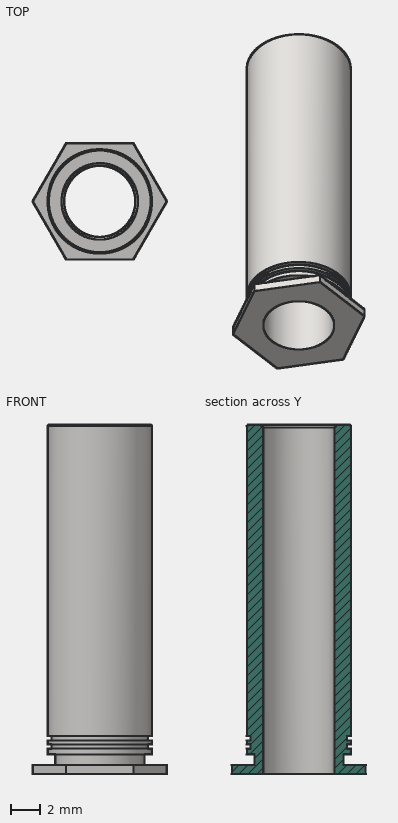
import cadquery as cq
import math

total_height = 23.8
hex_across_flats = 7.93
flange_thickness = 0.65
body_diameter = 7.12
neck_diameter = 6.1
groove_diameter = 6.6
bore_diameter = 4.83
neck_height = 0.71
bottom_ring_height = 0.38
groove_width = 0.29
groove_pitch = 0.57
groove_count = 2
outer_chamfer = 0.1
bore_chamfer = 0.2

hex_across_corners = hex_across_flats / math.cos(math.pi / 6)
body_bottom = flange_thickness + neck_height
first_groove_bottom = body_bottom + bottom_ring_height


def cylinder(diameter, bottom, top):
    """Solid cylinder on the Z axis between two heights."""
    return cq.Workplane("XY").workplane(offset=bottom).circle(diameter / 2).extrude(top - bottom)


def hex_flange():
    """Hexagonal head with two corners on the X axis."""
    return cq.Workplane("XY").polygon(6, hex_across_corners).extrude(flange_thickness)


def grooved_body():
    """Tube exterior with a chamfered rim and grooves near its lower end."""
    body = cylinder(body_diameter, body_bottom, total_height).faces(">Z").chamfer(outer_chamfer)
    for index in range(groove_count):
        bottom = first_groove_bottom + index * groove_pitch
        top = bottom + groove_width
        groove = cylinder(body_diameter, bottom, top).cut(cylinder(groove_diameter, bottom, top))
        body = body.cut(groove)
    return body


def bore():
    """Through bore that widens in a chamfer at the top rim."""
    radius = bore_diameter / 2
    return (
        cq.Workplane("XZ")
        .moveTo(0, 0)
        .lineTo(radius, 0)
        .lineTo(radius, total_height - bore_chamfer)
        .lineTo(radius + bore_chamfer, total_height)
        .lineTo(0, total_height)
        .close()
        .revolve(360, (0, 0, 0), (0, 1, 0))
    )


neck = cylinder(neck_diameter, flange_thickness, body_bottom)
result = hex_flange().union(neck).union(grooved_body()).cut(bore())